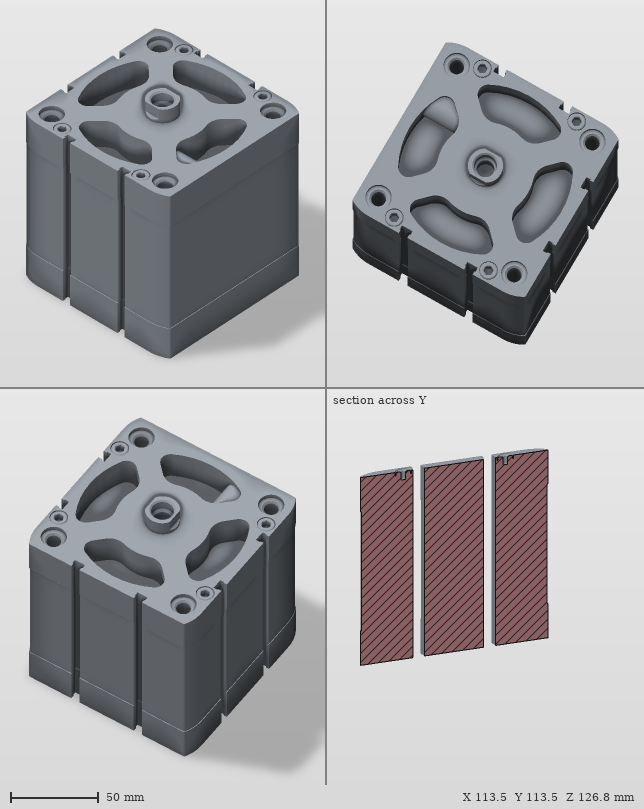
import cadquery as cq
import math

total_height = 126.8
body_height = 117.0
cap_height = 21.5
cap_half_width = 113.5 / 2
barrel_inset = 0.4
barrel_half_width = cap_half_width - barrel_inset

corner_start = 44.1
corner_radius = 24.1
corner_blend_radius = 1.3

slot_offset = 21.4
slot_mouth_width = 5.6
slot_inner_width = 6.8
slot_lip = 2.2
slot_depth = 4.8
slot_edge_chamfer = 0.4

pocket_outer_radius = 49.7
pocket_inner_radius = 27.8
pocket_rib_width = 13.7
pocket_depth = 19.0
pocket_outer_fillet = 6.0
pocket_inner_fillet = 10.7

boss_radius = 8.0
boss_axis_y = -20.0
boss_top_depth = 2.8

mount_offset = 44.5
mount_counterbore_diameter = 15.0
mount_counterbore_depth = 2.8
mount_countersink_diameter = 10.7
mount_hole_diameter = 8.4

screw_x = 31.0
screw_y = 50.2
screw_recess_diameter = 10.7
screw_recess_depth = 2.0
screw_head_diameter = 10.0
screw_rim_diameter = 9.0
screw_socket_mouth_diameter = 6.0
screw_socket_flats_width = 5.0
screw_socket_depth = 5.1
screw_point_half_angle = 70.0

rod_diameter = 20.0
rod_flats_width = 17.0
rod_flats_length = 6.8
rod_mouth_diameter = 15.0
rod_bore_diameter = 13.0
rod_bore_depth = 6.6
rod_drill_diameter = 10.1
rod_drill_depth = 17.8
rod_point_half_angle = 59.0
rod_bottom = body_height - cap_height


def tapered_hole(stations):
    """Solid of revolution about Z through (radius, z) stations; the last one lies on the axis."""
    top = (0, stations[0][1])
    return cq.Workplane("XZ").polyline([top] + stations).close().revolve(360, (0, 0), (0, 1))


def point_length(diameter, half_angle):
    """Length of a conical hole bottom."""
    return diameter / 2 / math.tan(math.radians(half_angle))


def block(half_width, z_bottom, height):
    """Square block with a broad arc at each corner, blended into the X sides."""
    arc_center_y = half_width - corner_radius
    blend_x = half_width - corner_blend_radius
    reach = corner_radius - corner_blend_radius
    blend_y = arc_center_y + math.sqrt(reach**2 - (blend_x - corner_start) ** 2)
    join_angle = math.atan2(blend_y - arc_center_y, blend_x - corner_start)

    def on_corner(angle):
        return (
            corner_start + corner_radius * math.cos(angle),
            arc_center_y + corner_radius * math.sin(angle),
        )

    def on_blend(angle):
        return (
            blend_x + corner_blend_radius * math.cos(angle),
            blend_y + corner_blend_radius * math.sin(angle),
        )

    half = (
        cq.Workplane("XY", origin=(0, 0, z_bottom))
        .moveTo(0, half_width)
        .lineTo(corner_start, half_width)
        .threePointArc(on_corner((math.pi / 2 + join_angle) / 2), on_corner(join_angle))
        .threePointArc(on_blend(join_angle / 2), (half_width, blend_y))
        .lineTo(half_width, 0)
        .lineTo(0, 0)
        .close()
        .extrude(height)
    )
    half = half.union(half.mirror("XZ"))
    return half.union(half.mirror("YZ"))


def slot(half_width, z_bottom, height, edge_chamfer):
    """T-slot cutter for the +Y side, right of the middle panel."""
    mouth = slot_mouth_width / 2
    inner = slot_inner_width / 2
    points = [
        (-mouth - edge_chamfer, half_width),
        (-mouth, half_width - edge_chamfer),
        (-mouth, half_width - slot_lip),
        (-inner, half_width - slot_lip),
        (-inner, half_width - slot_depth),
        (inner, half_width - slot_depth),
        (inner, half_width - slot_lip),
        (mouth, half_width - slot_lip),
        (mouth, half_width),
    ]
    if edge_chamfer == 0:
        points = points[1:]
    return (
        cq.Workplane("XY", origin=(slot_offset, 0, z_bottom)).polyline(points).close().extrude(height)
    )


def slotted_block(half_width, z_bottom, height, edge_chamfer):
    body = block(half_width, z_bottom, height)
    right_slot = slot(half_width, z_bottom, height, edge_chamfer)
    slot_pair = right_slot.union(right_slot.mirror("YZ"))
    for side_angle in (0, 90, 180):
        body = body.cut(slot_pair.rotate((0, 0, 0), (0, 0, 1), side_angle))
    return body


def polar(radius, angle):
    return (radius * math.cos(angle), radius * math.sin(angle))


def pocket():
    """Cutter for the +X pocket: a ring sector between two diagonal ribs, corners rounded."""
    outer_angle = math.pi / 4 - math.asin(pocket_rib_width / 2 / pocket_outer_radius)
    inner_angle = math.pi / 4 - math.asin(pocket_rib_width / 2 / pocket_inner_radius)
    sector = (
        cq.Workplane("XY", origin=(0, 0, body_height - pocket_depth))
        .moveTo(*polar(pocket_inner_radius, inner_angle))
        .threePointArc((pocket_inner_radius, 0), polar(pocket_inner_radius, -inner_angle))
        .lineTo(*polar(pocket_outer_radius, -outer_angle))
        .threePointArc((pocket_outer_radius, 0), polar(pocket_outer_radius, outer_angle))
        .close()
        .extrude(pocket_depth)
    )
    sector = sector.edges("|Z").edges(">X").fillet(pocket_outer_fillet)
    return sector.edges("|Z").edges("<X").fillet(pocket_inner_fillet)


def port_boss(pocket_shape):
    """Boss with a half-round +Y side, filling the -Y end of the +X pocket."""
    boss_top = body_height - boss_top_depth
    axis_z = boss_top - boss_radius
    floor_z = body_height - pocket_depth
    profile = (
        cq.Workplane("YZ")
        .moveTo(-cap_half_width, floor_z)
        .lineTo(-cap_half_width, boss_top)
        .lineTo(boss_axis_y, boss_top)
        .threePointArc((boss_axis_y + boss_radius, axis_z), (boss_axis_y, axis_z - boss_radius))
        .lineTo(boss_axis_y, floor_z)
        .close()
    )
    return profile.extrude(cap_half_width).intersect(pocket_shape)


def mount_hole():
    counterbore = mount_counterbore_diameter / 2
    countersink = mount_countersink_diameter / 2
    hole = mount_hole_diameter / 2
    seat_z = body_height - mount_counterbore_depth
    return tapered_hole([
        (counterbore, body_height),
        (counterbore, seat_z),
        (countersink, seat_z),
        (hole, seat_z - (countersink - hole)),
        (hole, 0),
        (0, 0),
    ])


def screw_recess():
    """Annular gap round a flush screw head, with a hexagon socket in the head."""
    rim = screw_rim_diameter / 2
    head = screw_head_diameter / 2
    recess_z = body_height - screw_recess_depth
    gap = (
        cq.Workplane("XZ")
        .polyline([
            (rim, body_height),
            (head, body_height - (head - rim)),
            (head, recess_z),
            (screw_recess_diameter / 2, recess_z),
            (screw_recess_diameter / 2, body_height),
        ])
        .close()
        .revolve(360, (0, 0), (0, 1))
    )
    mouth = screw_socket_mouth_diameter / 2
    flat = screw_socket_flats_width / 2
    socket_z = body_height - screw_socket_depth
    round_socket = tapered_hole([
        (mouth, body_height),
        (flat, body_height - (mouth - flat)),
        (flat, socket_z),
        (0, socket_z - point_length(screw_socket_flats_width, screw_point_half_angle)),
    ])
    hexagon = (
        cq.Workplane("XY", origin=(0, 0, socket_z))
        .polygon(6, screw_socket_flats_width, circumscribed=True)
        .extrude(screw_socket_depth)
    )
    return gap.union(round_socket.union(hexagon))


def at_four(cutter, x, y):
    """Copies of a cutter at (+-x, +-y)."""
    return [cutter.translate((sx * x, sy * y, 0)) for sx in (-1, 1) for sy in (-1, 1)]


def make_housing():
    barrel_height = body_height - 2 * cap_height
    body = slotted_block(barrel_half_width, cap_height, barrel_height, slot_edge_chamfer)
    for z_bottom in (0, body_height - cap_height):
        body = body.union(slotted_block(cap_half_width, z_bottom, cap_height, 0))

    pocket_shape = pocket()
    for angle in (0, 90, 180, 270):
        body = body.cut(pocket_shape.rotate((0, 0, 0), (0, 0, 1), angle))
    body = body.union(port_boss(pocket_shape))

    for hole in at_four(mount_hole(), mount_offset, mount_offset):
        body = body.cut(hole)
    for recess in at_four(screw_recess(), screw_x, screw_y):
        body = body.cut(recess)

    rod_hole = (
        cq.Workplane("XY", origin=(0, 0, rod_bottom)).circle(rod_diameter / 2).extrude(cap_height)
    )
    return body.cut(rod_hole)


def rod_flat():
    """Cutter for the +Y wrench flat, ending in a 45 degree ramp."""
    flat_y = rod_flats_width / 2
    ramp = rod_diameter / 2 - flat_y
    flat_z = total_height - rod_flats_length
    return (
        cq.Workplane("YZ")
        .polyline([
            (flat_y, total_height),
            (flat_y, flat_z),
            (flat_y + ramp, flat_z - ramp),
            (flat_y + ramp, total_height),
        ])
        .close()
        .extrude(rod_diameter / 2, both=True)
    )


def make_rod():
    rod = (
        cq.Workplane("XY", origin=(0, 0, rod_bottom))
        .circle(rod_diameter / 2)
        .extrude(total_height - rod_bottom)
    )
    flat = rod_flat()
    rod = rod.cut(flat).cut(flat.mirror("XZ"))

    mouth = rod_mouth_diameter / 2
    bore = rod_bore_diameter / 2
    drill = rod_drill_diameter / 2
    bore_z = total_height - rod_bore_depth
    drill_z = total_height - rod_drill_depth
    thread_hole = tapered_hole([
        (mouth, total_height),
        (bore, total_height - (mouth - bore)),
        (bore, bore_z),
        (drill, bore_z - (bore - drill)),
        (drill, drill_z),
        (0, drill_z - point_length(rod_drill_diameter, rod_point_half_angle)),
    ])
    return rod.cut(thread_hole)


housing = make_housing()
rod = make_rod()
result = cq.Compound.makeCompound([housing.val(), rod.val()])